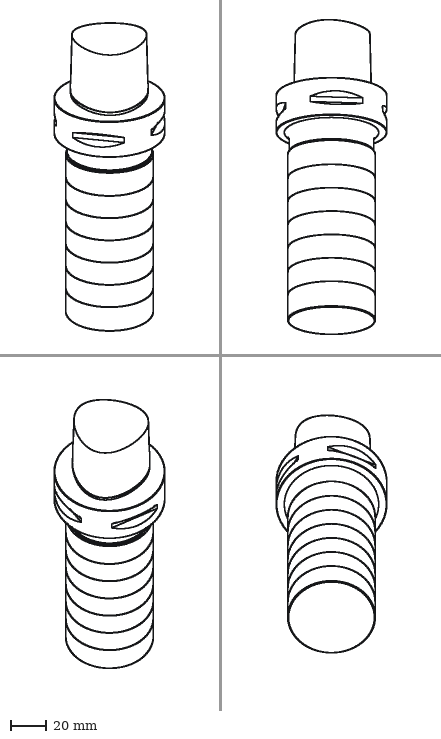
import cadquery as cq
import math

total_height = 173.0
ring_radius = 24.9
bottom_ring_height = 15.4
ring_pitch = 14.0
middle_ring_count = 5
ring_stack_height = 100.0
ring_edge_chamfer = 0.2
bottom_edge_chamfer = 0.5

neck_radius = 48.1 / 2
neck_top = 108.5
neck_relief_depth = 0.5
neck_relief_height = 1.0
flare_radius = 26.8
flare_sag = 0.5
flange_radius = 63.0 / 2
flange_bottom = 112.8
flange_top = 135.3
flange_chamfer = 0.3

slot_count = 4
slot_start_angle = 45.0
slot_center_z = 123.2
slot_mouth_width = 8.1
slot_floor_width = 3.1
slot_depth = 3.8

shank_bottom = 137.2
shank_base_radius = 22.0
shank_top_radius = 21.1
lobe_offset = 1.4
shank_relief = 0.3
lobed_curve_points = 36


def lobed_profile(radius, z):
    """Closed three-lobed wire with one lobe pointing to +Y."""
    points = []
    for index in range(lobed_curve_points):
        angle = 2 * math.pi * index / lobed_curve_points
        x = radius * math.sin(angle) - lobe_offset * math.sin(2 * angle)
        y = radius * math.cos(angle) + lobe_offset * math.cos(2 * angle)
        points.append(cq.Vector(x, y, z))
    return cq.Wire.assembleEdges([cq.Edge.makeSpline(points, periodic=True)])


def make_shank():
    base = lobed_profile(shank_base_radius, shank_bottom)
    top = lobed_profile(shank_top_radius, total_height)
    taper = cq.Workplane(cq.Solid.makeLoft([base, top], True))
    relief_outline = lobed_profile(shank_base_radius - shank_relief, flange_top)
    relief_rise = cq.Vector(0, 0, shank_bottom - flange_top)
    relief = cq.Solid.extrudeLinear(relief_outline, [], relief_rise)
    return taper.union(cq.Workplane(relief))


def make_neck_and_flange():
    flare_middle = (
        (neck_radius + flare_radius) / 2 - flare_sag,
        (neck_top + flange_bottom) / 2 + flare_sag,
    )
    return (
        cq.Workplane("XZ")
        .moveTo(0, ring_stack_height)
        .lineTo(neck_radius - neck_relief_depth, ring_stack_height)
        .lineTo(neck_radius - neck_relief_depth, ring_stack_height + neck_relief_height)
        .lineTo(neck_radius, ring_stack_height + neck_relief_height)
        .lineTo(neck_radius, neck_top)
        .threePointArc(flare_middle, (flare_radius, flange_bottom))
        .lineTo(flange_radius - flange_chamfer, flange_bottom)
        .lineTo(flange_radius, flange_bottom + flange_chamfer)
        .lineTo(flange_radius, flange_top - flange_chamfer)
        .lineTo(flange_radius - flange_chamfer, flange_top)
        .lineTo(0, flange_top)
        .close()
        .revolve(360, (0, 0, 0), (0, 1, 0))
    )


def make_gripper_slot(angle):
    """Straight trapezoidal cutter across the flange rim, facing the given angle."""
    floor_x = flange_radius - slot_depth
    floor_half = slot_floor_width / 2
    mouth_half = slot_mouth_width / 2
    return (
        cq.Workplane("XZ")
        .polyline([
            (floor_x, slot_center_z - floor_half),
            (flange_radius, slot_center_z - mouth_half),
            (flange_radius, slot_center_z + mouth_half),
            (floor_x, slot_center_z + floor_half),
        ])
        .close()
        .extrude(flange_radius, both=True)
        .rotate((0, 0, 0), (0, 0, 1), angle)
    )


def make_holder():
    holder = make_neck_and_flange()
    for index in range(slot_count):
        holder = holder.cut(make_gripper_slot(slot_start_angle + index * 360 / slot_count))
    return holder.union(make_shank())


def make_ring(bottom, top):
    """Solid disc of the stack with a chamfered upper rim."""
    return (
        cq.Workplane("XY")
        .workplane(offset=bottom)
        .circle(ring_radius)
        .extrude(top - bottom)
        .faces(">Z").chamfer(ring_edge_chamfer)
    )


def make_bottom_ring():
    """Lowest disc, chamfered at both rims."""
    return make_ring(0, bottom_ring_height).faces("<Z").chamfer(bottom_edge_chamfer)


def make_middle_rings():
    rings = []
    for index in range(middle_ring_count):
        bottom = bottom_ring_height + index * ring_pitch
        rings.append(make_ring(bottom, bottom + ring_pitch))
    return rings


holder = make_holder()
bottom_ring = make_bottom_ring()
middle_rings = make_middle_rings()
top_ring_bottom = bottom_ring_height + middle_ring_count * ring_pitch
top_ring = make_ring(top_ring_bottom, ring_stack_height)

result = cq.Compound.makeCompound([
    holder.val(),
    top_ring.val(),
    *[ring.val() for ring in middle_rings],
    bottom_ring.val(),
])